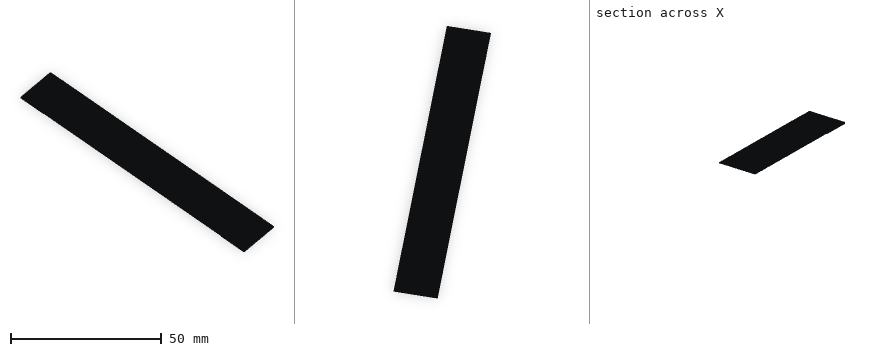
import cadquery as cq


length = 100.0
wire_count = 28
wire_pitch = 0.5
wire_width = 0.3
width = (wire_count + 1) * wire_pitch
stripped_length = 5.0
stiffener_length = 10.0

total_height = 0.36
stiffener_height = 0.22
base_height = 0.09
wire_height = 0.01
base_top = stiffener_height + base_height
wire_top = base_top + wire_height
cover_height = total_height - wire_top

wire_gap = wire_pitch - wire_width
wire_span = (wire_count - 1) * wire_pitch + wire_width
seal_width = (width - wire_span) / 2 - wire_gap
seal_y = (width - seal_width) / 2


def block(x_start, x_size, y_center, y_size, z_bottom, z_size):
    """Box placed by its start in X, centre in Y and bottom in Z."""
    box = cq.Workplane("XY").box(x_size, y_size, z_size, centered=(False, True, False))
    return box.translate((x_start, y_center, z_bottom))


def make_wires():
    """Parallel flat wires over the full length, resting on the base film."""
    first_wire_y = -(wire_count - 1) * wire_pitch / 2
    centers = [(0, first_wire_y + index * wire_pitch) for index in range(wire_count)]
    wires = cq.Workplane("XY").pushPoints(centers).box(
        length, wire_width, wire_height, centered=(False, True, False)
    )
    return wires.translate((0, 0, base_top))


def make_cover():
    """Cover film between the stripped ends, sealed to the base along both long edges."""
    cover_length = length - 2 * stripped_length
    cover = block(stripped_length, cover_length, 0, width, wire_top, cover_height)
    for side in (-1, 1):
        seal = block(stripped_length, cover_length, side * seal_y, seal_width, base_top, wire_height)
        cover = cover.union(seal)
    return cover


result = block(0, length, 0, width, stiffener_height, base_height)
for stiffener_start in (0, length - stiffener_length):
    result = result.union(block(stiffener_start, stiffener_length, 0, width, 0, stiffener_height))
result = result.union(make_cover()).union(make_wires())